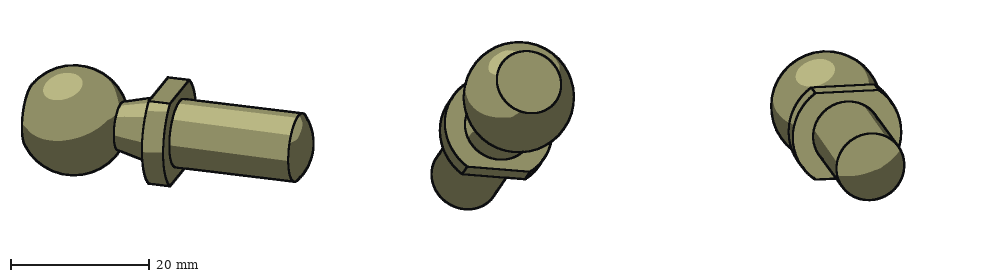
import cadquery as cq
import math

total_length = 42.4
ball_radius = 16.0 / 2
ball_center_x = 6.4

neck_small_radius = 3.55

flange_radius = 16.0 / 2
flange_start_x = 19.2
flange_thickness = 3.22
across_flats = 12.97

shank_radius = 10.0 / 2
dome_height = 1.95

flange_end_x = flange_start_x + flange_thickness
dome_start_x = total_length - dome_height
face_radius = math.sqrt(ball_radius**2 - ball_center_x**2)
neck_start_x = ball_center_x + math.sqrt(ball_radius**2 - neck_small_radius**2)
dome_radius = (shank_radius**2 + dome_height**2) / (2 * dome_height)
dome_center_x = total_length - dome_radius
dome_mid_angle = math.asin(shank_radius / dome_radius) / 2
dome_mid_point = (
    dome_center_x + dome_radius * math.cos(dome_mid_angle),
    dome_radius * math.sin(dome_mid_angle),
)


def make_stud():
    """Ball, neck, shank and dome revolved about the X axis."""
    return (
        cq.Workplane("XY")
        .lineTo(0, face_radius)
        .threePointArc((ball_center_x, ball_radius), (neck_start_x, neck_small_radius))
        .lineTo(flange_start_x, shank_radius)
        .lineTo(dome_start_x, shank_radius)
        .threePointArc(dome_mid_point, (total_length, 0))
        .close()
        .revolve(360, (0, 0, 0), (1, 0, 0))
    )


def make_flange():
    """Disc trimmed to two parallel flats facing up and down."""
    disc = (
        cq.Workplane("YZ", origin=(flange_start_x, 0, 0))
        .circle(flange_radius)
        .extrude(flange_thickness)
    )
    flats = cq.Workplane("XY").box(
        flange_thickness, 2 * flange_radius, across_flats
    ).translate(((flange_start_x + flange_end_x) / 2, 0, 0))
    return disc.intersect(flats)


result = make_stud().union(make_flange())